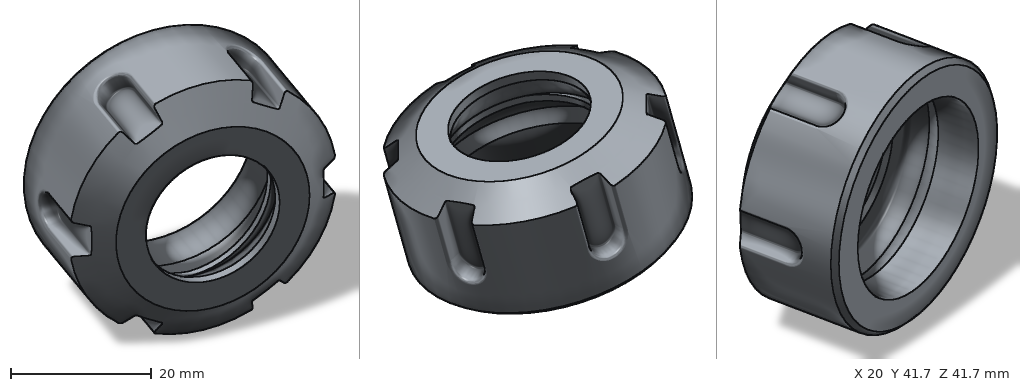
import cadquery as cq
import math

outer_radius = 20.85
length = 20.0
back_edge_chamfer = 0.85

nose_start = 16.65
nose_radius = 15.1

bore_radius = 15.25
bore_depth = 6.92
relief_radius = 16.3
relief_start = 9.17
relief_fillet = 0.85
shelf_x = 13.05
lip_end = 14.2
throat_radius = 12.9
mouth_radius = 10.42
throat_half_angle = 30.0
lip_offset = 1.25

slot_count = 6
slot_floor_radius = 18.1
slot_arc_center_x = 8.9
slot_floor_half_width = 2.45
slot_wall_taper = 10.0
slot_floor_fillet = 0.38
slot_rim_fillet = 0.5

throat_end = lip_end + (throat_radius - mouth_radius) / math.tan(math.radians(throat_half_angle))
slot_cut_height = outer_radius - slot_floor_radius + 0.4


def revolve_about_x(profile):
    return profile.close().revolve(360, (0, 0, 0), (1, 0, 0))


def draw_half_slot_section(plane):
    """Half of the slot section: floor, floor fillet and outward-leaning wall."""
    taper = math.radians(slot_wall_taper)
    tangent_length = slot_floor_fillet * math.tan((math.pi / 2 - taper) / 2)
    fillet_end = (
        slot_floor_half_width + tangent_length * math.sin(taper),
        slot_floor_radius + tangent_length * math.cos(taper),
    )
    top_half_width = slot_floor_half_width + slot_cut_height * math.tan(taper)
    slot_top = slot_floor_radius + slot_cut_height
    return (
        plane.moveTo(0, slot_floor_radius)
        .lineTo(slot_floor_half_width - tangent_length, slot_floor_radius)
        .tangentArcPoint(fillet_end, relative=False)
        .lineTo(top_half_width, slot_top)
        .lineTo(0, slot_top)
        .close()
    )


def make_slot_cutter():
    """Round-ended slot along X, with its floor facing +Z."""
    arc_center = (slot_arc_center_x, 0, 0)
    half_channel = draw_half_slot_section(cq.Workplane("YZ", origin=arc_center)).extrude(length)
    round_end = draw_half_slot_section(cq.Workplane("XZ", origin=arc_center)).revolve(360, (0, 0), (0, 1))
    return half_channel.union(half_channel.mirror("XZ")).union(round_end)


def make_slotted_body():
    body = cq.Workplane("YZ").circle(outer_radius).extrude(length)
    body = body.faces("<X").edges().chamfer(back_edge_chamfer)
    cutter = make_slot_cutter()
    for index in range(slot_count):
        angle = 90 + index * 360 / slot_count
        body = body.cut(cutter.rotate((0, 0, 0), (1, 0, 0), angle))
    outer_face = cq.selectors.BoxSelector(
        (2 * back_edge_chamfer, -slot_floor_half_width, -slot_floor_half_width),
        (nose_start, slot_floor_half_width, slot_floor_half_width),
    )
    slot_rims = cq.selectors.BoxSelector(
        (slot_arc_center_x - slot_floor_half_width, -outer_radius, -outer_radius),
        (nose_start, outer_radius, outer_radius),
    )
    return body.faces(outer_face).edges(slot_rims).fillet(slot_rim_fillet)


def make_nose_envelope():
    return revolve_about_x(
        cq.Workplane("XY")
        .lineTo(0, outer_radius)
        .lineTo(nose_start, outer_radius)
        .lineTo(length, nose_radius)
        .lineTo(length, 0)
    )


def make_bore():
    """Bore with a flared, filleted relief behind it."""
    bore = revolve_about_x(
        cq.Workplane("XY")
        .lineTo(0, bore_radius)
        .lineTo(bore_depth, bore_radius)
        .lineTo(relief_start, relief_radius)
        .lineTo(shelf_x, relief_radius)
        .lineTo(shelf_x, 0)
    )
    return bore.faces(">X").edges().fillet(relief_fillet)


def make_lip_opening():
    """Overlap of a centered circle and one shifted toward -Y."""
    plane = cq.Workplane("YZ", origin=(shelf_x, 0, 0))
    depth = lip_end - shelf_x
    centered = plane.circle(throat_radius).extrude(depth)
    shifted = plane.center(-lip_offset, 0).circle(throat_radius).extrude(depth)
    return centered.intersect(shifted)


def make_throat():
    return revolve_about_x(
        cq.Workplane("XY")
        .moveTo(lip_end, 0)
        .lineTo(lip_end, throat_radius)
        .lineTo(throat_end, mouth_radius)
        .lineTo(length, mouth_radius)
        .lineTo(length, 0)
    )


result = (
    make_slotted_body()
    .intersect(make_nose_envelope())
    .cut(make_bore())
    .cut(make_lip_opening())
    .cut(make_throat())
)